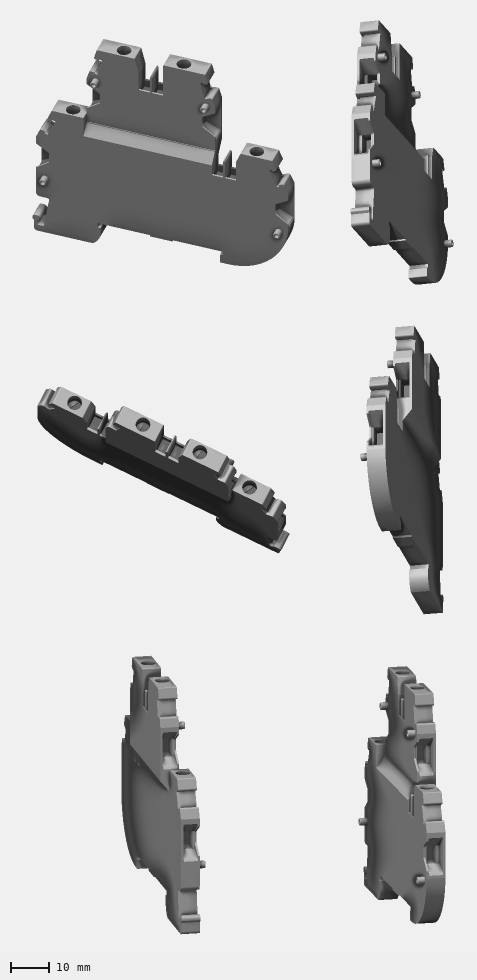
import cadquery as cq
import math


plate_thickness = 5.05
level_offset = 2.5
lower_length = 70.0
upper_left = 13.2
upper_length = 35.65
upper_right = upper_left + upper_length
lower_top = 40.95
upper_top = 62.5
front_skin = 0.5
back_skin = 0.65

bevel_bottom = 34.9
bevel_top = 38.0
bevel_step = 0.2

pin_diameter = 2.0
pin_bore = 1.2
pin_length = 2.0
pin_chamfer = 0.15
pin_inset = 2.55
lower_pin_z = 17.9
upper_pin_z = 52.05

shaft_diameter = 3.8
screw_diameter = 3.5
shaft_inset = 9.5
shaft_from_front = 2.35
shaft_depth = 4.25
screw_gap_depth = 0.7
driver_slot_width = 1.0
lower_screw_turn = -27.0
upper_screw_turn = 0.0

window_depth = 3.7
cavity_depth = 4.25
lower_entry_top = 28.95
upper_entry_top = 50.4
entry_slope_drop = 2.3
window_drop = 5.4
window_height = 8.0
window_radius = 0.6
cavity_rise = 0.8
cavity_drop = 7.2
cavity_floor_lip = 8.9
cavity_bottom = 9.3
cavity_fillet = 0.35
lead_out = 0.7
lip_length = 0.35
channel_front_margin = 0.5
channel_back_margin = 0.85
channel_length = 4.25

fin_thickness = 0.65
fin_tip_height = 0.35
slot_recess = 2.1
upper_slot_floor = 52.4
upper_slot_left = 27.6
upper_slot_right = 34.4
upper_shoulder_z = 57.8
upper_shoulder_top_x = 26.5
upper_fin_x = upper_left + upper_length / 2
upper_fin_top = 57.7
lower_slot_floor = 31.7
lower_slot_left = upper_right
lower_slot_right = 55.6
lower_shoulder_z = 38.0
lower_shoulder_top_x = 56.8
lower_fin_x = (lower_slot_left + lower_slot_right) / 2
lower_fin_top = 37.3

relief_length = 0.85
relief_width = 0.4

lower_end = [
    (0, 31.2, 0), (1.35, 34.1, 0.6), (3.4, 33.0, 0),
    (5.25, 37.2, 0), (3.1, 38.0, 0.5), (4.4, lower_top, 0.35),
]
upper_end = [
    (0, 52.45, 0), (0.8, 55.0, 0.5), (3.05, 54.7, 0),
    (4.1, 58.9, 0), (1.9, 59.4, 0.5), (2.8, upper_top, 0.2),
]
notch_bottom = 2
notch_top = 3

foot_height = 7.0
large_arc_start = (lower_length, 18.9)
large_arc_middle = (65.2, 8.15)
large_arc_end = (53.25, 3.3)
right_claw = [(51.05, 3.3, 0.2), (51.05, 5.7, 0), (51.9, 6.1, 0), (51.9, foot_height, 0)]
middle_pad = [(38.2, foot_height, 0), (37.85, 6.6, 0), (31.65, 6.6, 0), (31.65, foot_height, 0)]
left_claw = [(17.1, foot_height, 0), (17.1, 5.6, 0.3), (17.95, 5.6, 0)]
claw_arc_start = (17.95, 4.25)
claw_arc_middle = (17.45, 1.85)
claw_arc_end = (15.8, 0)
spring_hook = [
    (-0.5, 0, 0.85), (-0.5, 3.3, 0), (-1.0, 3.8, 0.4), (-1.0, 5.05, 0.85),
    (0.85, 5.05, 0.8), (1.7, 3.9, 0.35), (2.5, 3.9, 0.35), (3.75, 11.6, 0.6), (0, 11.6, 1.2),
]
hook_gap_outline = [
    (2.55, 4.2), (2.5, 3.0), (2.2, 2.0), (0.65, 2.0), (0.35, 2.3), (0.35, 3.2), (0.9, 3.7), (0.9, 4.6),
]


def extrude_y(sketch, y_start, y_end):
    """Extrude a sketch of the XZ plane from y_start to y_end."""
    return sketch.extrude(y_start - y_end).translate((0, y_start, 0))


def slab(points, y_start, y_end):
    return extrude_y(cq.Workplane("XZ").polyline(points).close(), y_start, y_end)


def block(x_range, y_range, z_range):
    corner = (x_range[0], y_range[0], z_range[0])
    size = (x_range[1] - x_range[0], y_range[1] - y_range[0], z_range[1] - z_range[0])
    return cq.Workplane("XY").box(*size, centered=False).translate(corner)


def draw_rounded(path, before, corners, after):
    """Continue a path from `before` through corners (x, z, radius), on the way to `after`."""
    points = [cq.Vector(*before)] + [cq.Vector(x, z) for x, z, radius in corners] + [cq.Vector(*after)]
    radii = [radius for x, z, radius in corners]
    for previous, corner, following, radius in zip(points, points[1:], points[2:], radii):
        if radius == 0:
            path = path.lineTo(corner.x, corner.y)
            continue
        into = (previous - corner).normalized()
        out = (following - corner).normalized()
        half_angle = into.getAngle(out) / 2
        reach = radius / math.tan(half_angle)
        start = corner + into * reach
        middle = corner + (into + out).normalized() * (radius / math.sin(half_angle) - radius)
        end = corner + out * reach
        path = path.lineTo(start.x, start.y).threePointArc((middle.x, middle.y), (end.x, end.y))
    return path


def end_corners(profile, end_x, inward):
    return [(end_x + inward * distance, z, radius) for distance, z, radius in profile]


def lower_plate():
    left_and_top = end_corners(lower_end, 0, 1) + [
        (upper_left, lower_top, 0),
        (upper_left, bevel_bottom, 0),
        (lower_slot_left, bevel_bottom, 0),
        (lower_slot_left, lower_slot_floor, 0),
        (lower_slot_right, lower_slot_floor, 0),
        (lower_slot_right, lower_shoulder_z, 0),
        (lower_shoulder_top_x, lower_top, 0.35),
    ]
    right_end = end_corners(lower_end, lower_length, -1)[::-1]
    start = lower_end[0][:2]
    path = cq.Workplane("XZ").moveTo(*start)
    path = draw_rounded(path, start, left_and_top[1:] + right_end, large_arc_start)
    path = path.lineTo(*large_arc_start).threePointArc(large_arc_middle, large_arc_end)
    path = draw_rounded(path, large_arc_end, right_claw + middle_pad + left_claw, claw_arc_start)
    path = path.lineTo(*claw_arc_start).threePointArc(claw_arc_middle, claw_arc_end)
    path = draw_rounded(path, claw_arc_end, spring_hook, start)
    return extrude_y(path.close(), 0, plate_thickness)


def upper_plate():
    left_and_top = end_corners(upper_end, upper_left, 1) + [
        (upper_shoulder_top_x, upper_top, 0.3),
        (upper_slot_left, upper_shoulder_z, 0),
        (upper_slot_left, upper_slot_floor, 0),
        (upper_slot_right, upper_slot_floor, 0),
        (upper_slot_right, upper_top, 0.2),
    ]
    right_end = end_corners(upper_end, upper_right, -1)[::-1]
    start = (upper_left, bevel_top)
    path = cq.Workplane("XZ").moveTo(*start)
    path = draw_rounded(path, start, left_and_top + right_end + [(upper_right, bevel_top, 0)], start)
    return extrude_y(path.close(), level_offset, level_offset + plate_thickness)


def transition():
    section = [
        (0, bevel_bottom),
        (level_offset - bevel_step, bevel_top - bevel_step),
        (level_offset - bevel_step, bevel_top),
        (level_offset + plate_thickness, bevel_top),
        (plate_thickness, bevel_bottom),
    ]
    return cq.Workplane("YZ").polyline(section).close().extrude(upper_length).translate((upper_left, 0, 0))


def slot_recess_cut(x_range, floor_z, front_y):
    y_range = (front_y + front_skin, front_y + plate_thickness - back_skin)
    return block(x_range, y_range, (floor_z - slot_recess, floor_z))


def fin(x, floor_z, top_z, front_y):
    half = fin_thickness / 2
    bottom = floor_z - slot_recess
    shoulder = top_z - fin_tip_height
    points = [(x - half, bottom), (x - half, shoulder), (x, top_z), (x + half, shoulder), (x + half, bottom)]
    return slab(points, front_y, front_y + plate_thickness)


def wire_entry(end_x, inward, top_z, front_y):
    """Pocket in a plate end: a window through the front skin, a wider cavity and a wire channel."""
    def placed(points):
        return [(end_x + inward * depth, top_z - drop) for depth, drop in points]

    window = [
        (0, 0, 0), (window_depth, entry_slope_drop, window_radius),
        (window_depth, window_drop, window_radius), (0, window_height, 0),
    ]
    cavity = [
        (-lead_out, -cavity_rise), (0, -cavity_rise), (cavity_depth, entry_slope_drop),
        (cavity_depth, cavity_drop), (lip_length, cavity_floor_lip), (0, cavity_bottom),
        (-lead_out, cavity_bottom),
    ]
    channel_end = cavity_depth + channel_length
    channel = [
        (cavity_depth, entry_slope_drop), (channel_end, entry_slope_drop),
        (channel_end, cavity_drop), (cavity_depth, cavity_drop),
    ]
    cavity_front = front_y + front_skin
    cavity_back = front_y + plate_thickness - back_skin
    channel_front = cavity_front + channel_front_margin
    channel_back = cavity_back - channel_back_margin
    rounded_cavity = slab(placed(cavity), cavity_front, cavity_back)
    rounded_cavity = rounded_cavity.faces("<Y or >Y").edges().fillet(cavity_fillet)
    window_start = (end_x, top_z)
    window_corners = [(end_x + inward * depth, top_z - drop, radius) for depth, drop, radius in window]
    window_path = cq.Workplane("XZ").moveTo(*window_start)
    window_path = draw_rounded(window_path, window_start, window_corners[1:], window_start)
    cut = extrude_y(window_path.close(), front_y, cavity_front + cavity_fillet).union(rounded_cavity)
    return cut.union(slab(placed(channel), channel_front, channel_back))


def notch_reliefs(profile, end_x, inward, front_y):
    """Small pockets in both inner corners of an end notch, closed by the back skin."""
    low = cq.Vector(end_x + inward * profile[notch_bottom][0], profile[notch_bottom][1])
    high = cq.Vector(end_x + inward * profile[notch_top][0], profile[notch_top][1])
    along = (high - low).normalized()
    outward = cq.Vector(-along.y, along.x) * inward
    cuts = cq.Workplane("XZ")
    for corner, direction in ((low, along * -1), (high, along)):
        side = outward * relief_length
        rise = direction * relief_width
        back = direction * -relief_width
        corners = [corner + back, corner + rise, corner + rise + side, corner + back + side]
        points = [point.toTuple()[:2] for point in corners]
        cuts = cuts.union(slab(points, front_y, front_y + plate_thickness - back_skin))
    return cuts


def screw_shaft(x, top_z, front_y, turn):
    """Round shaft with a slotted screw head at its bottom."""
    depth = shaft_depth + screw_gap_depth
    head = cq.Workplane("XY").circle(screw_diameter / 2).extrude(screw_gap_depth)
    driver_slot = cq.Workplane("XY").rect(driver_slot_width, shaft_diameter).extrude(screw_gap_depth)
    head = head.cut(driver_slot.rotate((0, 0, 0), (0, 0, 1), turn))
    shaft = cq.Workplane("XY").circle(shaft_diameter / 2).extrude(depth).cut(head)
    return shaft.translate((x, front_y + shaft_from_front, top_z - depth))


def pin(x, z, front_y):
    """Hollow pin standing out of the front face, with a small chamfer around its tip."""
    rod = extrude_y(cq.Workplane("XZ").center(x, z).circle(pin_diameter / 2), front_y - pin_length, front_y)
    bore = extrude_y(cq.Workplane("XZ").center(x, z).circle(pin_bore / 2), front_y - pin_length, front_y)
    return rod.faces("<Y").chamfer(pin_chamfer).cut(bore)


def hook_gap():
    """Pocket behind the spring hook of the foot, closed by the back skin."""
    return slab(hook_gap_outline, 0, plate_thickness - back_skin)


levels = [
    (lower_end, 0, lower_length, 0, lower_top, lower_entry_top, lower_pin_z, lower_screw_turn),
    (upper_end, upper_left, upper_right, level_offset, upper_top, upper_entry_top, upper_pin_z,
     upper_screw_turn),
]

result = lower_plate().union(transition()).union(upper_plate())
result = result.cut(hook_gap())
for profile, left, right, front_y, top_z, entry_top, pin_z, turn in levels:
    for end_x, inward in ((left, 1), (right, -1)):
        result = result.cut(wire_entry(end_x, inward, entry_top, front_y))
        result = result.cut(notch_reliefs(profile, end_x, inward, front_y))
        result = result.cut(screw_shaft(end_x + inward * shaft_inset, top_z, front_y, turn))
        result = result.union(pin(end_x + inward * pin_inset, pin_z, front_y))

slots = [
    ((lower_slot_left, lower_slot_right), lower_slot_floor, lower_fin_x, lower_fin_top, 0),
    ((upper_slot_left, upper_slot_right), upper_slot_floor, upper_fin_x, upper_fin_top, level_offset),
]
for x_range, floor_z, fin_x, fin_top, front_y in slots:
    result = result.cut(slot_recess_cut(x_range, floor_z, front_y))
    result = result.union(fin(fin_x, floor_z, fin_top, front_y))